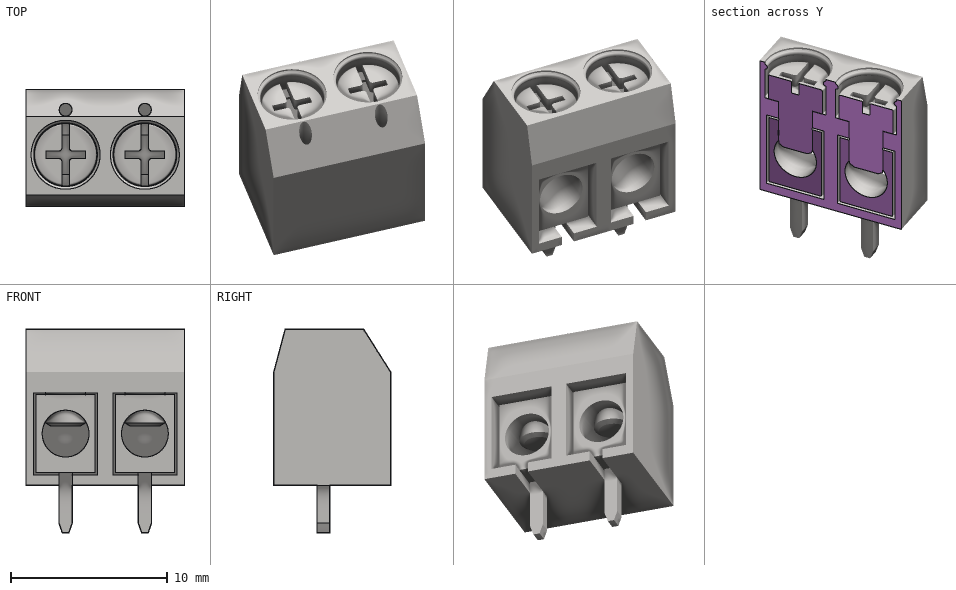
import cadquery as cq


pitch = 5.08
pole_count = 2
pole_positions = [(i - (pole_count - 1) / 2) * pitch for i in range(pole_count)]

housing_length = pole_count * pitch
housing_depth = 7.5
housing_height = 10.0
shoulder_height = 7.25
front_slope_run = 0.73
back_slope_run = 1.74

clamp_width = 3.78
clamp_bottom = 0.81
clamp_height = 5.0
clamp_front = 1.0
clamp_gap = 0.15
clamp_gap_above = 0.11
wire_hole_diameter = 3.0
screw_y = 3.32
clamp_depth = 2 * (screw_y - clamp_front)
clamp_back = clamp_front + clamp_depth
wire_hole_z = clamp_bottom + clamp_height / 2
chamber_width = clamp_width + 2 * clamp_gap
chamber_bottom = clamp_bottom - clamp_gap
chamber_top = clamp_bottom + clamp_height + clamp_gap_above

pin_width = 0.86
pin_thickness = 0.82
pin_y = 3.18
pin_length = 3.05
pin_taper_length = 0.62
pin_tip_width = 0.42
pin_back = pin_y + pin_thickness / 2

shank_diameter = 2.56
shank_end_z = 3.8
shank_chamfer_height = 0.2
shank_chamfer_run = 0.32
head_diameter = 4.0
head_top = 9.1
head_bottom = shoulder_height
head_edge_fillet = 0.12
drive_width = 0.48
drive_cross_length = 2.54
drive_slot_depth = 0.7
drive_cross_depth = 0.9
drive_corner_radius = 0.2

well_diameter = 4.42
lip_top = 9.88
lip_height = 0.44
lip_protrusion = 0.17
lip_bevel = 0.08

probe_hole_diameter = 0.82
probe_hole_y = 6.2


def box(width, y_range, z_range, x):
    """Box centred on x, spanning the given Y and Z ranges."""
    return (
        cq.Workplane("XY")
        .box(width, y_range[1] - y_range[0], z_range[1] - z_range[0], centered=(True, False, False))
        .translate((x, y_range[0], z_range[0]))
    )


def upright_cylinder(diameter, z_bottom, z_top, x, y):
    return (
        cq.Workplane("XY", origin=(x, y, z_bottom))
        .circle(diameter / 2)
        .extrude(z_top - z_bottom)
    )


def housing_block():
    """Block with a steep front slope and a longer back slope above the shoulders."""
    return (
        cq.Workplane("YZ", origin=(-housing_length / 2, 0, 0))
        .polyline([
            (0, 0),
            (housing_depth, 0),
            (housing_depth, shoulder_height),
            (housing_depth - back_slope_run, housing_height),
            (front_slope_run, housing_height),
            (0, shoulder_height),
        ])
        .close()
        .extrude(housing_length)
    )


def head_well(x):
    """Round well for the screw head, narrowed near its mouth by a rounded lip with a bevelled top."""
    well_radius = well_diameter / 2
    profile = (
        cq.Workplane("XZ")
        .moveTo(0, head_bottom)
        .lineTo(well_radius, head_bottom)
        .lineTo(well_radius, lip_top - lip_height)
        .threePointArc(
            (well_radius - lip_protrusion, lip_top - lip_height / 2),
            (well_radius - lip_bevel, lip_top - lip_bevel),
        )
        .lineTo(well_radius, lip_top)
        .lineTo(well_radius, housing_height)
        .lineTo(0, housing_height)
        .close()
    )
    return profile.revolve(360, (0, 0), (0, 1)).translate((x, screw_y, 0))


def pole_cavity(x):
    """Everything removed from the housing for one pole."""
    chamber = box(chamber_width, (0, clamp_back), (chamber_bottom, chamber_top), x)
    pin_slot = box(pin_width, (0, pin_back), (0, chamber_bottom), x)
    shank_hole = upright_cylinder(shank_diameter, chamber_top, head_bottom, x, screw_y)
    probe_hole = upright_cylinder(probe_hole_diameter, shoulder_height, housing_height, x, probe_hole_y)
    return chamber.union(pin_slot).union(shank_hole).union(head_well(x)).union(probe_hole)


def make_housing():
    body = housing_block()
    for x in pole_positions:
        body = body.cut(pole_cavity(x))
    return body


def make_terminal(x):
    """Clamp block with a wire hole, a screw hole in its top and a tapered solder pin."""
    clamp = box(clamp_width, (clamp_front, clamp_back), (clamp_bottom, clamp_bottom + clamp_height), x)
    wire_hole = (
        cq.Workplane("XZ", origin=(x, clamp_front, wire_hole_z))
        .circle(wire_hole_diameter / 2)
        .extrude(-clamp_depth)
    )
    screw_hole = upright_cylinder(shank_diameter, wire_hole_z, chamber_top, x, screw_y)
    pin = (
        cq.Workplane("XZ", origin=(x, pin_back, 0))
        .polyline([
            (-pin_width / 2, clamp_bottom),
            (-pin_width / 2, pin_taper_length - pin_length),
            (-pin_tip_width / 2, -pin_length),
            (pin_tip_width / 2, -pin_length),
            (pin_width / 2, pin_taper_length - pin_length),
            (pin_width / 2, clamp_bottom),
        ])
        .close()
        .extrude(pin_thickness)
    )
    return clamp.cut(wire_hole).cut(screw_hole).union(pin)


def drive_recess():
    """Cross recess with rounded inner corners, crossed by a slot that runs across the head along Y."""
    cross = (
        cq.Workplane("XY", origin=(0, 0, head_top))
        .rect(drive_cross_length, drive_width)
        .extrude(-drive_cross_depth)
    )
    cross_arm = (
        cq.Workplane("XY", origin=(0, 0, head_top))
        .rect(drive_width, drive_cross_length)
        .extrude(-drive_cross_depth)
    )
    inner_corners = cq.selectors.BoxSelector(
        (-drive_width, -drive_width, 0), (drive_width, drive_width, housing_height)
    )
    cross = cross.union(cross_arm).edges("|Z").edges(inner_corners).fillet(drive_corner_radius)
    slot = (
        cq.Workplane("XY", origin=(0, 0, head_top))
        .rect(drive_width, head_diameter)
        .extrude(-drive_slot_depth)
    )
    return cross.union(slot)


def make_screw(x):
    """Screw with a chamfered shank end and a cylindrical head with a rounded top edge."""
    shank_radius = shank_diameter / 2
    head_radius = head_diameter / 2
    profile = (
        cq.Workplane("XZ")
        .moveTo(0, shank_end_z)
        .lineTo(shank_radius - shank_chamfer_run, shank_end_z)
        .lineTo(shank_radius, shank_end_z + shank_chamfer_height)
        .lineTo(shank_radius, head_bottom)
        .lineTo(head_radius, head_bottom)
        .lineTo(head_radius, head_top)
        .lineTo(0, head_top)
        .close()
    )
    screw = profile.revolve(360, (0, 0), (0, 1)).faces(">Z").edges().fillet(head_edge_fillet)
    return screw.cut(drive_recess()).translate((x, screw_y, 0))


housing = make_housing()
terminals = [make_terminal(x) for x in pole_positions]
screws = [make_screw(x) for x in pole_positions]

result = cq.Compound.makeCompound([
    housing.val(),
    *[terminal.val() for terminal in terminals],
    *[screw.val() for screw in screws],
])